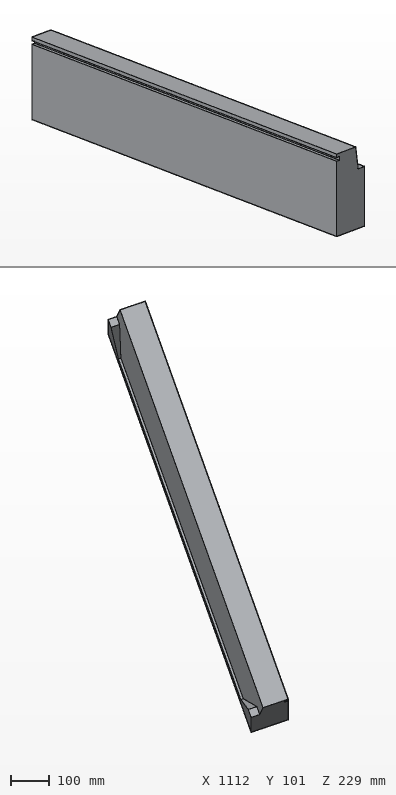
import cadquery as cq

length = 1112.0
depth = 101.0
height = 229.0

seat_drop = 63.0
seat_depth = 23.0
rebate_top_depth = 32.0
wall_lean = (rebate_top_depth - seat_depth) / seat_drop

groove_top_drop = 10.0
groove_width = 10.0
groove_depth = 10.0

seat_length = 22.0
recess_floor_inset = 80.0
recess_floor_depth = 7.0

seat_z = height - seat_drop
recess_floor_z = seat_z - (seat_depth - recess_floor_depth) / wall_lean


def make_block():
    """Extrude the end profile with the rear rebate along X."""
    profile = [
        (0, 0),
        (depth, 0),
        (depth, seat_z),
        (depth - seat_depth, seat_z),
        (depth - rebate_top_depth, height),
        (0, height),
    ]
    return cq.Workplane("YZ").polyline(profile).close().extrude(length)


def make_groove():
    """Rectangular groove running the full length of the front face."""
    groove_bottom = height - groove_top_drop - groove_width
    return cq.Workplane("XY").box(length, groove_depth, groove_width, centered=False).translate(
        (0, 0, groove_bottom)
    )


def make_recess():
    """Rear recess: the leaning wall continues down, and both ends slope inward."""
    side_profile = [
        (depth, recess_floor_z),
        (depth, seat_z),
        (depth - seat_depth, seat_z),
        (depth - recess_floor_depth, recess_floor_z),
    ]
    rear_outline = [
        (seat_length, seat_z),
        (length - seat_length, seat_z),
        (length - recess_floor_inset, recess_floor_z),
        (recess_floor_inset, recess_floor_z),
    ]
    wedge = cq.Workplane("YZ").polyline(side_profile).close().extrude(length)
    trapezoid = cq.Workplane("XZ").polyline(rear_outline).close().extrude(-depth)
    return wedge.intersect(trapezoid)


result = make_block().cut(make_groove()).cut(make_recess())